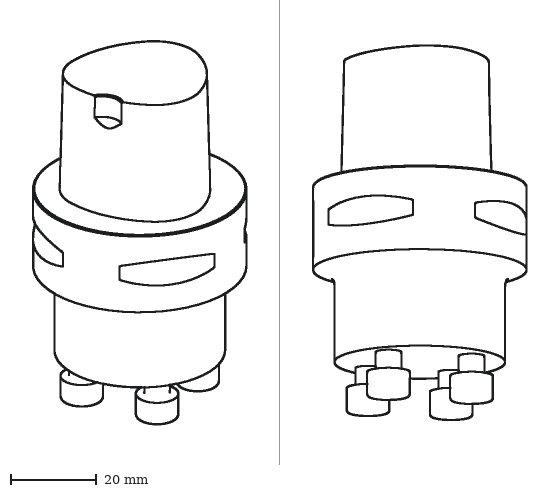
import cadquery as cq
import math

flange_diameter = 50.0
flange_height = 20.0
flange_chamfer = 0.3

neck_diameter = 40.0
neck_length = 22.0
shoulder_angle = 15.0
shoulder_fillet = 3.0

shank_length = 30.0
lobe_angles = (90, 210, 330)
lobe_pitch = 360 / len(lobe_angles)
lobe_reach = 18.75
flat_reach = 16.5
lobe_radius = 11.95
taper_ratio = 1 / 20
taper_angle = math.degrees(math.atan(taper_ratio / 2))

notch_diameter = 9.2
notch_reach = 13.85
notch_depth = 5.6
notch_point_angle = 90.0
notch_rim_chamfer = 0.35

groove_count = 4
groove_first_angle = 45.0
groove_floor_distance = 22.15
groove_floor_height = 3.6
groove_wall_angle = 28.0
groove_corner_fillet = 0.45
groove_center_z = -flange_height / 2

screw_spacing = 20.0
screw_shank_diameter = 6.0
screw_head_diameter = 10.0
screw_length = 10.53
screw_head_height = 5.83
screw_head_fillet = 0.6
screw_neck_fillet = 0.25

flange_radius = flange_diameter / 2
neck_radius = neck_diameter / 2
neck_bottom = -flange_height - neck_length


def polar(radius, angle):
    """Point at a radius and an angle in degrees."""
    a = math.radians(angle)
    return (radius * math.cos(a), radius * math.sin(a))


def make_flange_and_neck():
    cone_drop = (flange_radius - neck_radius) * math.tan(math.radians(shoulder_angle))
    fillet_tangent = shoulder_fillet * math.tan(math.radians((90 - shoulder_angle) / 2))
    fillet_center = (
        neck_radius + shoulder_fillet,
        -flange_height - cone_drop - fillet_tangent,
    )

    def fillet_point(angle):
        dx, dz = polar(shoulder_fillet, angle)
        return (fillet_center[0] + dx, fillet_center[1] + dz)

    fillet_start_angle = 90 + shoulder_angle
    profile = (
        cq.Workplane("XZ")
        .moveTo(0, 0)
        .lineTo(flange_radius - flange_chamfer, 0)
        .lineTo(flange_radius, -flange_chamfer)
        .lineTo(flange_radius, -flange_height)
        .lineTo(*fillet_point(fillet_start_angle))
        .threePointArc(fillet_point((fillet_start_angle + 180) / 2), fillet_point(180))
        .lineTo(neck_radius, neck_bottom)
        .lineTo(0, neck_bottom)
        .close()
    )
    return profile.revolve(360, (0, 0, 0), (0, 1, 0))


def make_shank():
    """Taper whose section is three lobe arcs joined by three tangent flatter arcs."""
    lobe_offset = lobe_reach - lobe_radius
    flat_gap = flat_reach - lobe_radius
    flat_offset = (flat_gap**2 - lobe_offset**2) / (lobe_offset - 2 * flat_gap)
    half_pitch = math.radians(lobe_pitch / 2)
    join_angle = math.degrees(
        math.atan2(
            flat_offset * math.sin(half_pitch),
            lobe_offset + flat_offset * math.cos(half_pitch),
        )
    )

    def join_point(lobe_angle, side):
        cx, cy = polar(lobe_offset, lobe_angle)
        dx, dy = polar(lobe_radius, lobe_angle + side * join_angle)
        return (cx + dx, cy + dy)

    outline = cq.Workplane("XY").moveTo(*join_point(lobe_angles[0], -1))
    for angle in lobe_angles:
        outline = outline.threePointArc(polar(lobe_reach, angle), join_point(angle, 1))
        next_join = join_point(angle + lobe_pitch, -1)
        outline = outline.threePointArc(polar(flat_reach, angle + lobe_pitch / 2), next_join)
    return outline.close().extrude(shank_length, taper=taper_angle)


def make_notch():
    """Pointed drill shape with a chamfered rim, leaning with the side of the shank."""
    radius = notch_diameter / 2
    point_length = radius / math.tan(math.radians(notch_point_angle / 2))
    rim_radius = radius + notch_rim_chamfer
    overrun = notch_rim_chamfer
    return (
        cq.Workplane("XZ")
        .polyline([
            (0, overrun),
            (rim_radius + overrun, overrun),
            (radius, -notch_rim_chamfer),
            (radius, -notch_depth),
            (0, -notch_depth - point_length),
        ])
        .close()
        .revolve(360, (0, 0, 0), (0, 1, 0))
        .translate((0, -radius, 0))
        .rotate((0, 0, 0), (1, 0, 0), -taper_angle)
        .translate((0, -notch_reach, shank_length))
    )


def make_groove(angle):
    """Trapezoidal groove, opening outward, cut straight across the flange."""
    depth = flange_radius - groove_floor_distance
    floor_half = groove_floor_height / 2
    mouth_half = floor_half + depth * math.tan(math.radians(groove_wall_angle))
    return (
        cq.Workplane("XZ")
        .polyline([
            (groove_floor_distance, groove_center_z - floor_half),
            (flange_radius, groove_center_z - mouth_half),
            (flange_radius, groove_center_z + mouth_half),
            (groove_floor_distance, groove_center_z + floor_half),
        ])
        .close()
        .extrude(flange_radius, both=True)
        .faces("<X")
        .edges("|Y")
        .fillet(groove_corner_fillet)
        .rotate((0, 0, 0), (0, 0, 1), angle)
    )


def make_screw(x, y):
    """Cap screw standing out of the neck, head down."""
    head = cq.Workplane("XY").circle(screw_head_diameter / 2).extrude(screw_head_height)
    head = head.faces("<Z").edges().fillet(screw_head_fillet)
    shank = cq.Workplane("XY").circle(screw_shank_diameter / 2).extrude(screw_length)
    head_top_edges = head.union(shank).faces(">Z[-2]").edges()
    screw = head_top_edges.edges(cq.selectors.RadiusNthSelector(0)).fillet(screw_neck_fillet)
    return screw.translate((x, y, neck_bottom - screw_length))


result = make_flange_and_neck().union(make_shank()).cut(make_notch())
for index in range(groove_count):
    result = result.cut(make_groove(groove_first_angle + index * 360 / groove_count))
for screw_x in (-screw_spacing / 2, screw_spacing / 2):
    for screw_y in (-screw_spacing / 2, screw_spacing / 2):
        result = result.union(make_screw(screw_x, screw_y))